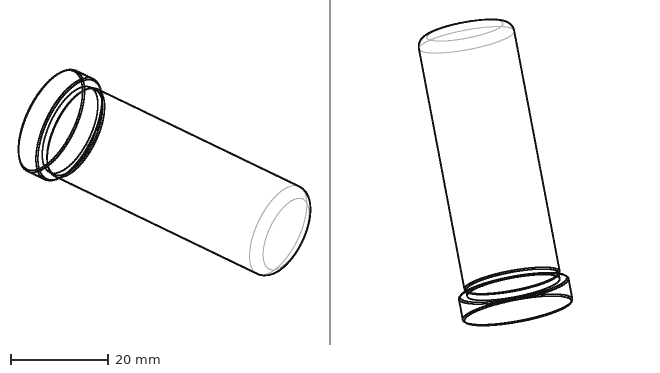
import cadquery as cq

total_length = 60.0

head_diameter = 23.0
head_length = 5.0
head_chamfer = 0.3

shank_diameter = 20.0
shank_end_round = 2.0

relief_depth = 0.3
relief_width = 1.5
relief_slope_length = 0.3

head_radius = head_diameter / 2
shank_radius = shank_diameter / 2
relief_radius = shank_radius - relief_depth
relief_end = head_length + relief_width


def make_head():
    """Disc head with both rims chamfered."""
    disc = cq.Workplane("YZ").circle(head_radius).extrude(head_length)
    return disc.edges("%CIRCLE").chamfer(head_chamfer)


def make_shank():
    """Relief groove and plain shank, revolved about the X axis, with a rounded free end."""
    profile = (
        cq.Workplane("XY")
        .moveTo(head_length, 0)
        .lineTo(head_length, relief_radius)
        .lineTo(relief_end - relief_slope_length, relief_radius)
        .lineTo(relief_end, shank_radius)
        .lineTo(total_length, shank_radius)
        .lineTo(total_length, 0)
        .close()
    )
    shank = profile.revolve(360, (0, 0, 0), (1, 0, 0))
    return shank.faces(">X").edges().fillet(shank_end_round)


result = make_head().union(make_shank())